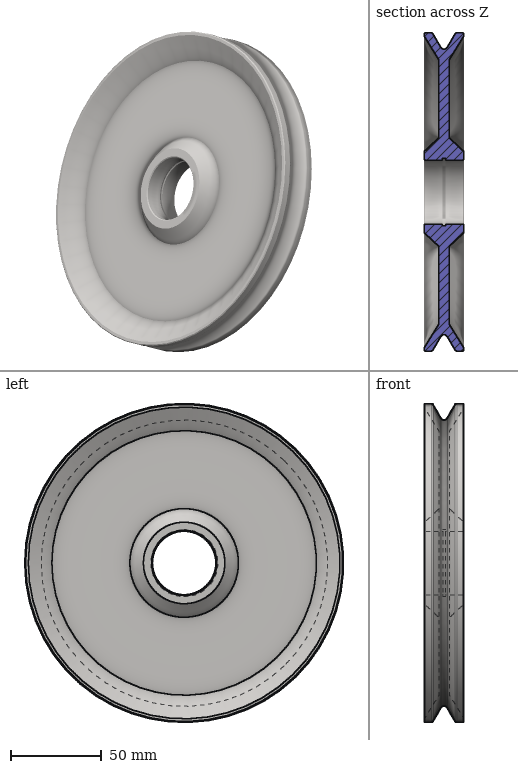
import cadquery as cq
import math


width = 22.0
rim_radius = 88.0
middle = width / 2

rim_edge_chamfer = 0.5
rim_face_inner_radius = 86.0

web_recess = 8.0
web_outer_radius = 73.0

hub_face_radius = 22.5
hub_base_radius = 30.0

bore_radius = 17.5
bore_edge_chamfer = 0.5
ring_groove_radius = 18.5
ring_groove_width = 1.6

groove_depth = 9.0
groove_half_angle = math.radians(30)
groove_bottom_radius = 2.0
groove_lip_radius = 1.0


def revolve_about_axle(section):
    """Turn a closed section, drawn with X along the axle and Y outward, about the X axis."""
    return section.revolve(360, (0, 0, 0), (1, 0, 0))


def make_wheel_blank():
    """Solid wheel: half of the symmetric section is revolved, then mirrored about mid-width."""
    half_section = (
        cq.Workplane("XY")
        .moveTo(0, 0)
        .lineTo(0, hub_face_radius)
        .lineTo(web_recess, hub_base_radius)
        .lineTo(web_recess, web_outer_radius)
        .lineTo(0, rim_face_inner_radius)
        .lineTo(0, rim_radius - rim_edge_chamfer)
        .lineTo(rim_edge_chamfer, rim_radius)
        .lineTo(middle, rim_radius)
        .lineTo(middle, 0)
        .close()
    )
    half = revolve_about_axle(half_section)
    return half.union(half.mirror("YZ", (middle, 0, 0)))


def make_rim_groove():
    """Ring with a V section: round bottom, straight flanks and rounded lips."""
    arc_angle = math.pi / 2 - groove_half_angle

    groove_floor = rim_radius - groove_depth
    bottom_end_offset = groove_bottom_radius * math.sin(arc_angle)
    bottom_end_height = groove_floor + groove_bottom_radius * (1 - math.cos(arc_angle))
    lip_center_height = rim_radius - groove_lip_radius
    lip_start_height = lip_center_height + groove_lip_radius * math.cos(arc_angle)
    flank_height = lip_start_height - bottom_end_height
    lip_start_offset = bottom_end_offset + flank_height * math.tan(groove_half_angle)
    lip_end_offset = lip_start_offset + groove_lip_radius * math.sin(arc_angle)
    lip_mid_offset = lip_end_offset - groove_lip_radius * math.sin(arc_angle / 2)
    lip_mid_height = lip_center_height + groove_lip_radius * math.cos(arc_angle / 2)

    section = (
        cq.Workplane("XY")
        .moveTo(middle - lip_end_offset, rim_radius)
        .threePointArc(
            (middle - lip_mid_offset, lip_mid_height),
            (middle - lip_start_offset, lip_start_height),
        )
        .lineTo(middle - bottom_end_offset, bottom_end_height)
        .threePointArc(
            (middle, groove_floor),
            (middle + bottom_end_offset, bottom_end_height),
        )
        .lineTo(middle + lip_start_offset, lip_start_height)
        .threePointArc(
            (middle + lip_mid_offset, lip_mid_height),
            (middle + lip_end_offset, rim_radius),
        )
        .close()
    )
    return revolve_about_axle(section)


def make_bore():
    """Through bore with chamfered mouths and the retaining ring groove."""
    mouth_radius = bore_radius + bore_edge_chamfer
    ring_groove_start = middle - ring_groove_width / 2
    ring_groove_end = middle + ring_groove_width / 2
    section = (
        cq.Workplane("XY")
        .moveTo(0, 0)
        .lineTo(0, mouth_radius)
        .lineTo(bore_edge_chamfer, bore_radius)
        .lineTo(ring_groove_start, bore_radius)
        .lineTo(ring_groove_start, ring_groove_radius)
        .lineTo(ring_groove_end, ring_groove_radius)
        .lineTo(ring_groove_end, bore_radius)
        .lineTo(width - bore_edge_chamfer, bore_radius)
        .lineTo(width, mouth_radius)
        .lineTo(width, 0)
        .close()
    )
    return revolve_about_axle(section)


result = make_wheel_blank().cut(make_rim_groove()).cut(make_bore())